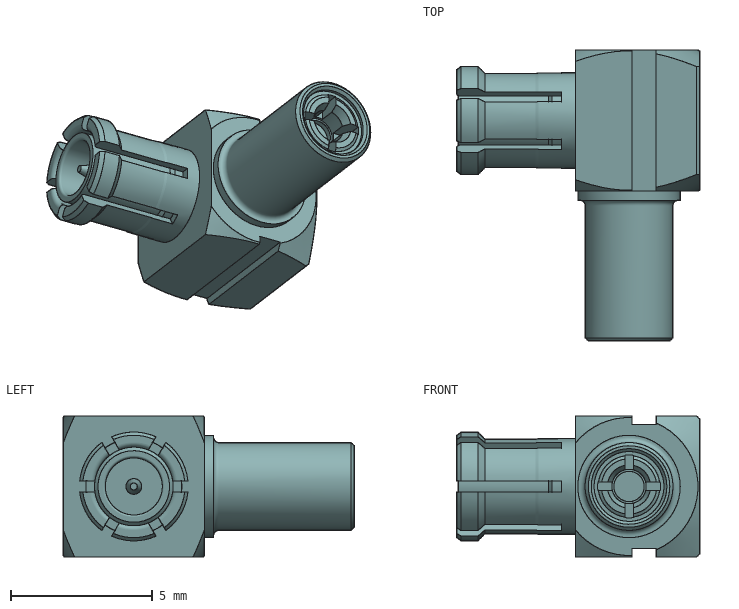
import cadquery as cq
import math


block_size = 5.0
half_block = block_size / 2
block_left = -1.9
block_right = 2.5
edge_chamfer = 0.11
end_flat_radius = 2.44
end_cone_angle = 30.0
cone_outer_radius = 4.12
groove_left = 0.11
groove_width = 0.84
groove_depth = 0.3

barrel_radius = 1.56
overall_length = 10.3
barrel_end = half_block - overall_length
barrel_end_chamfer = 0.11
collar_radius = 1.81
collar_length = 0.33
collar_fillet = 0.19
mouth_radius = 1.34
mouth_chamfer = 0.1

flange_depth = 0.22
jaw_base_radius = 1.09
jaw_face_radius = 0.98
jaw_face = barrel_end + 0.15
jaw_slot_reach = 1.11
jaw_slot_width = 0.3
jaw_slot_count = 4
jaw_slot_depth = 0.93
wire_mouth_radius = 0.76
wire_mouth_depth = 0.31
wire_bore_radius = 0.61
wire_step_depth = 0.1
core_bore_radius = 0.54
core_bore_depth = 0.21

overall_width = 8.6
plug_tip = block_right - overall_width
tip_radius = 1.81
head_radius = 1.93
head_start = plug_tip + 0.15
head_end = plug_tip + 0.75
neck_radius = 1.68
neck_start = plug_tip + 1.0
neck_end = plug_tip + 2.8
root_radius = 1.7
root_start = plug_tip + 2.89

finger_bore_radius = 1.39
finger_lip_fillet = 0.16
finger_slot_width = 0.4
finger_slot_count = 6
finger_slot_end = plug_tip + 3.71
tube_radius = 1.27
tube_bore_radius = 1.01
tube_lip_fillet = 0.08
tube_tip = plug_tip + 0.05
gap_floor = plug_tip + 3.38
gap_cone_length = finger_bore_radius - tube_radius

pin_radius = 0.28
pin_tip_radius = 0.12
pin_tip = tube_tip + 0.21
pin_cone_length = 0.57


def revolve_about_x(profile):
    """Turn a closed XY outline about the X axis."""
    return profile.close().revolve(360, (0, 0, 0), (1, 0, 0))


def revolve_about_y(profile):
    """Turn a closed XY outline about the Y axis."""
    return profile.close().revolve(360, (0, 0, 0), (0, 1, 0))


def make_block():
    length = block_right - block_left
    block = cq.Workplane("XY").box(length, block_size, block_size)
    block = block.translate(((block_left + block_right) / 2, 0, 0))
    block = block.edges("|Y and >X").chamfer(edge_chamfer)

    cone_depth = (cone_outer_radius - end_flat_radius) * math.tan(math.radians(end_cone_angle))
    cone_foot = half_block - cone_depth
    envelope = revolve_about_y(
        cq.Workplane("XY")
        .moveTo(0, -half_block)
        .lineTo(end_flat_radius, -half_block)
        .lineTo(cone_outer_radius, -cone_foot)
        .lineTo(cone_outer_radius, cone_foot)
        .lineTo(end_flat_radius, half_block)
        .lineTo(0, half_block)
    )
    block = block.intersect(envelope)

    groove = cq.Workplane("XY").box(groove_width, block_size, 2 * groove_depth)
    groove_center = groove_left + groove_width / 2
    for side in (-1, 1):
        block = block.cut(groove.translate((groove_center, 0, side * half_block)))
    return block


def make_barrel():
    collar_face = -half_block - collar_length
    fillet_end = collar_face - collar_fillet
    fillet_center_radius = barrel_radius + collar_fillet
    fillet_mid = collar_fillet * math.sqrt(0.5)
    flange_plane = barrel_end + flange_depth
    return revolve_about_y(
        cq.Workplane("XY")
        .lineTo(collar_radius, 0)
        .lineTo(collar_radius, collar_face)
        .lineTo(fillet_center_radius, collar_face)
        .threePointArc(
            (fillet_center_radius - fillet_mid, fillet_end + fillet_mid),
            (barrel_radius, fillet_end),
        )
        .lineTo(barrel_radius, barrel_end + barrel_end_chamfer)
        .lineTo(barrel_radius - barrel_end_chamfer, barrel_end)
        .lineTo(mouth_radius, barrel_end)
        .lineTo(mouth_radius - mouth_chamfer, barrel_end + mouth_chamfer)
        .lineTo(mouth_radius - mouth_chamfer, flange_plane)
        .lineTo(jaw_base_radius, flange_plane)
        .lineTo(jaw_face_radius, jaw_face)
        .lineTo(0, jaw_face)
    )


def make_clamp_cut():
    """Wire bore and crossed slots that split the clamp into jaws."""
    slot_floor = jaw_face + jaw_slot_depth
    step = slot_floor + wire_step_depth
    bore_floor = step + core_bore_depth
    bore = revolve_about_y(
        cq.Workplane("XY")
        .moveTo(0, jaw_face)
        .lineTo(wire_mouth_radius, jaw_face)
        .lineTo(wire_bore_radius, jaw_face + wire_mouth_depth)
        .lineTo(wire_bore_radius, step)
        .lineTo(core_bore_radius, step)
        .lineTo(core_bore_radius, bore_floor)
        .lineTo(0, bore_floor)
    )
    slot_limit = (
        cq.Workplane("XZ", origin=(0, slot_floor, 0)).circle(jaw_slot_reach).extrude(jaw_slot_depth)
    )
    slot = cq.Workplane("XY").box(
        jaw_slot_reach, jaw_slot_depth, jaw_slot_width, centered=(False, False, True)
    )
    slot = slot.translate((0, jaw_face, 0)).intersect(slot_limit)
    for index in range(jaw_slot_count):
        bore = bore.union(slot.rotate((0, 0, 0), (0, 1, 0), index * 360 / jaw_slot_count))
    return bore


def make_plug_shell():
    """Outer fingers, cut apart by lengthwise slots."""
    lip_mid = finger_lip_fillet * (1 - math.sqrt(0.5))
    shell = revolve_about_x(
        cq.Workplane("XY")
        .moveTo(plug_tip, finger_bore_radius + finger_lip_fillet)
        .lineTo(plug_tip, tip_radius)
        .lineTo(head_start, head_radius)
        .lineTo(head_end, head_radius)
        .lineTo(neck_start, neck_radius)
        .lineTo(neck_end, neck_radius)
        .lineTo(root_start, root_radius)
        .lineTo(0, root_radius)
        .lineTo(0, finger_bore_radius)
        .lineTo(plug_tip + finger_lip_fillet, finger_bore_radius)
        .threePointArc(
            (plug_tip + lip_mid, finger_bore_radius + lip_mid),
            (plug_tip, finger_bore_radius + finger_lip_fillet),
        )
    )
    slot = cq.Workplane("XY").box(
        finger_slot_end - plug_tip, head_radius, finger_slot_width, centered=(False, False, True)
    )
    slot = slot.translate((plug_tip, 0, 0))
    for index in range(finger_slot_count):
        shell = shell.cut(slot.rotate((0, 0, 0), (1, 0, 0), index * 360 / finger_slot_count))
    return shell


def make_plug_core():
    """Shield tube with a rounded inner lip, the filled root of the gap and the centre pin."""
    lip_mid = tube_lip_fillet * (1 - math.sqrt(0.5))
    return revolve_about_x(
        cq.Workplane("XY")
        .moveTo(pin_tip, 0)
        .lineTo(pin_tip, pin_tip_radius)
        .lineTo(pin_tip + pin_cone_length, pin_radius)
        .lineTo(block_left, pin_radius)
        .lineTo(block_left, tube_bore_radius)
        .lineTo(tube_tip + tube_lip_fillet, tube_bore_radius)
        .threePointArc(
            (tube_tip + lip_mid, tube_bore_radius + lip_mid),
            (tube_tip, tube_bore_radius + tube_lip_fillet),
        )
        .lineTo(tube_tip, tube_radius)
        .lineTo(gap_floor - gap_cone_length, tube_radius)
        .lineTo(gap_floor, finger_bore_radius)
        .lineTo(0, finger_bore_radius)
        .lineTo(0, 0)
    )


barrel = make_barrel().cut(make_clamp_cut())
result = make_block().union(barrel).union(make_plug_shell()).union(make_plug_core())